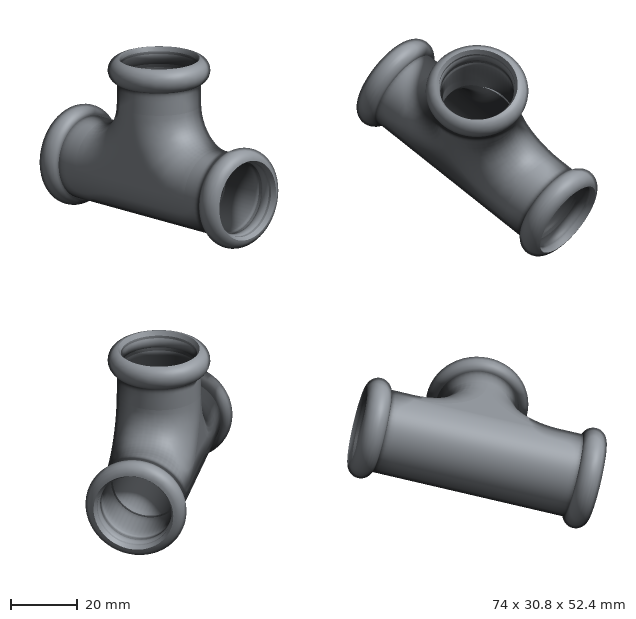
import cadquery as cq
end_reach = 37.0
tube_radius = 25.3 / 2
core_radius = 21.2 / 2
bend_radius = 22.65

bead_length = 7.4
bead_outer_radius = 15.4

mouth_radius = 24.4 / 2
lip_radius = 22.9 / 2
socket_radius = 22.3 / 2
mouth_taper_depth = 1.3
seal_start = 2.15
seal_end = 5.25
seal_crest_radius = 11.0
taper_start = 6.3
taper_end = 7.4
socket_depth = 20.0


def on_all_ends(branch_feature):
    """Copy a feature of the +Z branch onto both ends of the run."""
    right_end = branch_feature.rotate((0, 0, 0), (0, 1, 0), 90)
    left_end = branch_feature.rotate((0, 0, 0), (0, 1, 0), -90)
    return branch_feature.union(right_end).union(left_end)


def revolve_about_branch(profile):
    """Revolve a (radius, height) profile about the Z axis."""
    return profile.close().revolve(360, (0, 0, 0), (0, 1, 0))


def run_tube(radius, half_length):
    """Straight solid cylinder along the run."""
    return (
        cq.Workplane("YZ", origin=(-half_length, 0, 0))
        .circle(radius)
        .extrude(2 * half_length)
    )


def branch_tube():
    """Straight solid cylinder of the branch, from the bends up into the bead."""
    bead_middle = end_reach - bead_length / 2
    return (
        cq.Workplane("XY", origin=(0, 0, bend_radius))
        .circle(tube_radius)
        .extrude(bead_middle - bend_radius)
    )


def right_bend(radius):
    """Inner half of the quarter bend from the branch into the +X side of the run."""
    return (
        cq.Workplane("XY", origin=(0, 0, bend_radius))
        .moveTo(0, -radius)
        .threePointArc((radius, 0), (0, radius))
        .close()
        .revolve(90, (bend_radius, 0, 0), (bend_radius, -1, 0))
    )


def web(radius):
    """Flat-sided filling between the centrelines of the two bends and the run axis."""
    arc_middle = bend_radius * (1 - 0.5**0.5)
    return (
        cq.Workplane("XZ")
        .moveTo(-bend_radius, 0)
        .lineTo(bend_radius, 0)
        .threePointArc((arc_middle, arc_middle), (0, bend_radius))
        .threePointArc((-arc_middle, arc_middle), (-bend_radius, 0))
        .close()
        .extrude(radius, both=True)
    )


def junction(radius, run_half_length):
    """Solid run tube with the two bends and the web that lead up to the branch."""
    bend = right_bend(radius)
    return web(radius).union(bend).union(bend.mirror("YZ")).union(run_tube(radius, run_half_length))


def branch_bead():
    """Solid bead with a half-round rim."""
    bead_bottom = end_reach - bead_length
    rim = (bead_outer_radius, end_reach - bead_length / 2)
    return revolve_about_branch(
        cq.Workplane("XZ")
        .moveTo(0, bead_bottom)
        .lineTo(tube_radius, bead_bottom)
        .threePointArc(rim, (mouth_radius, end_reach))
        .lineTo(0, end_reach)
    )


def branch_socket():
    """Socket space: plain bore, rounded taper, seal ring, lip and flared mouth."""
    socket_bottom = end_reach - socket_depth
    seal_crest = (seal_crest_radius, end_reach - (seal_start + seal_end) / 2)
    return revolve_about_branch(
        cq.Workplane("XZ")
        .moveTo(0, socket_bottom)
        .lineTo(socket_radius, socket_bottom)
        .lineTo(socket_radius, end_reach - taper_end)
        .tangentArcPoint((lip_radius, end_reach - taper_start), relative=False)
        .lineTo(lip_radius, end_reach - seal_end)
        .threePointArc(seal_crest, (lip_radius, end_reach - seal_start))
        .lineTo(lip_radius, end_reach - mouth_taper_depth)
        .lineTo(mouth_radius, end_reach)
        .lineTo(0, end_reach)
    )


outside = junction(tube_radius, end_reach - bead_length / 2)
outside = outside.union(branch_tube()).union(on_all_ends(branch_bead()))
inside = junction(core_radius, bend_radius).union(on_all_ends(branch_socket()))
result = outside.cut(inside)